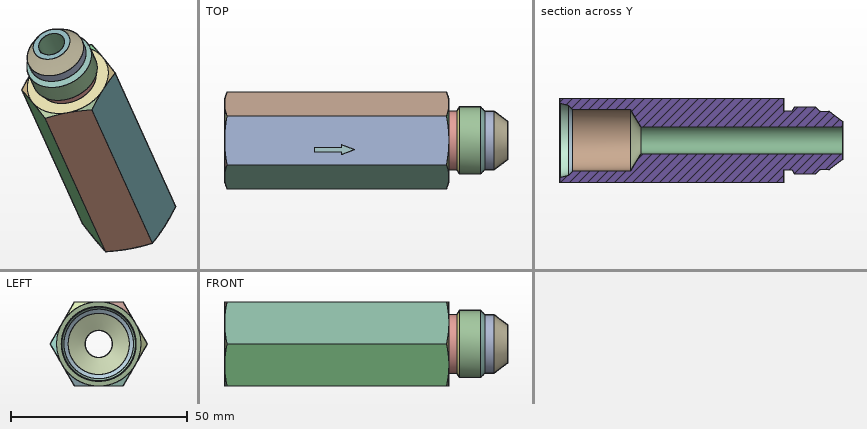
import cadquery as cq
import math

total_length = 80.01
body_length = 63.35
hex_corner_width = 27.51
hex_flat_width = hex_corner_width * math.cos(math.radians(30))
hex_chamfer_angle = 20.0

neck_diameter = 16.76
neck_length = 2.3
thread_diameter = 19.05
thread_start_chamfer_length = 0.65
thread_end = 72.3
nose_diameter = 16.61
flare_length = 3.85
flare_angle = 37.0

mouth_diameter = 21.2
mouth_chamfer_depth = 0.2
seal_outer_diameter = mouth_diameter - 2 * mouth_chamfer_depth
seal_inner_diameter = 19.65
seal_depth = 2.5
port_diameter = 17.3
port_depth = 20.0
port_tip_angle = 59.0
passage_diameter = 7.6

arrow_start = 25.4
arrow_length = 11.3
arrow_head_length = 3.7
arrow_head_width = 2.8
arrow_shaft_width = 1.3
arrow_center_y = -2.6
engraving_depth = 0.1


def revolve_profile(points):
    """Revolve an (x, radius) profile about the X axis."""
    return cq.Workplane("XY").polyline(points).close().revolve(360, (0, 0, 0), (1, 0, 0))


def make_hex_body():
    hexagon = cq.Workplane("YZ").polygon(6, hex_corner_width).extrude(body_length)
    flat_radius = hex_flat_width / 2
    corner_radius = hex_corner_width / 2
    chamfer_length = (corner_radius - flat_radius) * math.tan(math.radians(hex_chamfer_angle))
    chamfer_envelope = revolve_profile([
        (0, 0),
        (0, flat_radius),
        (chamfer_length, corner_radius),
        (body_length - chamfer_length, corner_radius),
        (body_length, flat_radius),
        (body_length, 0),
    ])
    return hexagon.intersect(chamfer_envelope)


def make_flare_end():
    neck_radius = neck_diameter / 2
    thread_radius = thread_diameter / 2
    nose_radius = nose_diameter / 2
    neck_end = body_length + neck_length
    nose_start = thread_end + thread_radius - nose_radius
    flare_start = total_length - flare_length
    tip_radius = nose_radius - flare_length * math.tan(math.radians(flare_angle))
    return revolve_profile([
        (body_length, 0),
        (body_length, neck_radius),
        (neck_end, neck_radius),
        (neck_end + thread_start_chamfer_length, thread_radius),
        (thread_end, thread_radius),
        (nose_start, nose_radius),
        (flare_start, nose_radius),
        (total_length, tip_radius),
        (total_length, 0),
    ])


def make_bore():
    seal_inner_radius = seal_inner_diameter / 2
    port_radius = port_diameter / 2
    passage_radius = passage_diameter / 2
    port_start = seal_depth + seal_inner_radius - port_radius
    tip_length = (port_radius - passage_radius) / math.tan(math.radians(port_tip_angle))
    return revolve_profile([
        (0, 0),
        (0, mouth_diameter / 2),
        (mouth_chamfer_depth, seal_outer_diameter / 2),
        (seal_depth, seal_inner_radius),
        (port_start, port_radius),
        (port_depth, port_radius),
        (port_depth + tip_length, passage_radius),
        (total_length, passage_radius),
        (total_length, 0),
    ])


def make_flow_arrow():
    head_start = arrow_length - arrow_head_length
    half_shaft = arrow_shaft_width / 2
    half_head = arrow_head_width / 2
    floor_height = hex_flat_width / 2 - engraving_depth
    return (
        cq.Workplane("XY", origin=(arrow_start, arrow_center_y, floor_height))
        .polyline([
            (0, -half_shaft),
            (head_start, -half_shaft),
            (head_start, -half_head),
            (arrow_length, 0),
            (head_start, half_head),
            (head_start, half_shaft),
            (0, half_shaft),
        ])
        .close()
        .extrude(2 * engraving_depth)
    )


result = (
    make_hex_body()
    .union(make_flare_end())
    .cut(make_bore())
    .cut(make_flow_arrow())
)